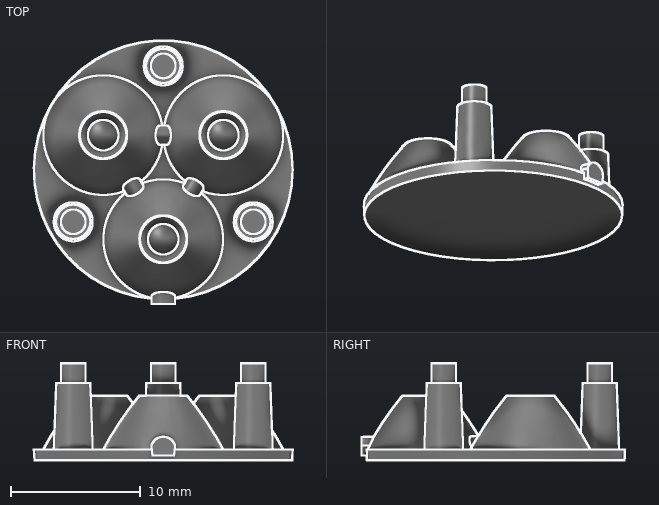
import cadquery as cq
import math

disc_top_radius = 9.98
disc_bottom_radius = 9.95
disc_height = 0.85

cone_circle_radius = 5.35
cone_base_radius = 4.61
cone_top_radius = 1.85
cone_top_z = 5.0
cone_bulge = 0.12
cone_angles = (-90, 30, 150)
gap_angles = (90, 210, 330)

cup_rim_radius = 1.79
cup_floor_radius = 1.18
cup_depth = 1.57
cup_dome_height = 0.35

post_circle_radius = 8.0
post_base_radius = 1.5
post_top_radius = 1.32
post_top_z = 5.98
pin_radius = 0.95
pin_top_z = 7.5
post_angles = gap_angles

gate_half_width = 0.91
gate_base_half_width = 0.83
gate_shoulder_z = 1.14
gate_top_z = 1.83
channel_base_z = 0.37
gate_end_reach = 10.35
runner_half_width = 0.75
runner_base_half_width = 0.7
runner_shoulder_z = 1.1
runner_top_z = 1.87
runner_half_length = 1.02


def at_polar(solid, radius, angle):
    """Move a solid from the Z axis to a place on a circle around it."""
    return solid.translate((radius, 0, 0)).rotate((0, 0, 0), (0, 0, 1), angle)


def revolved(half_outline):
    """Revolve a closed half outline, drawn as (radius, z), around the Z axis."""
    return half_outline.close().revolve(360, (0, 0, 0), (0, 1, 0))


def make_disc():
    return revolved(
        cq.Workplane("XZ")
        .lineTo(disc_bottom_radius, 0)
        .lineTo(disc_top_radius, disc_height)
        .lineTo(0, disc_height)
    )


def make_cone():
    flank_run = cone_base_radius - cone_top_radius
    flank_rise = cone_top_z - disc_height
    flank_length = math.hypot(flank_run, flank_rise)
    flank_middle = (
        (cone_base_radius + cone_top_radius) / 2 + cone_bulge * flank_rise / flank_length,
        (disc_height + cone_top_z) / 2 + cone_bulge * flank_run / flank_length,
    )
    floor_edge_z = cone_top_z - cup_depth
    dome_top_z = floor_edge_z + cup_dome_height
    dome_radius = (cup_floor_radius**2 + cup_dome_height**2) / (2 * cup_dome_height)
    dome_middle_radius = cup_floor_radius / 2
    dome_middle_z = dome_top_z - dome_radius + math.sqrt(dome_radius**2 - dome_middle_radius**2)
    return revolved(
        cq.Workplane("XZ")
        .moveTo(0, disc_height)
        .lineTo(cone_base_radius, disc_height)
        .threePointArc(flank_middle, (cone_top_radius, cone_top_z))
        .lineTo(cup_rim_radius, cone_top_z)
        .lineTo(cup_floor_radius, floor_edge_z)
        .threePointArc((dome_middle_radius, dome_middle_z), (0, dome_top_z))
    )


def make_post():
    return revolved(
        cq.Workplane("XZ")
        .lineTo(post_base_radius, 0)
        .lineTo(post_base_radius, disc_height)
        .lineTo(post_top_radius, post_top_z)
        .lineTo(pin_radius, post_top_z)
        .lineTo(pin_radius, pin_top_z)
        .lineTo(0, pin_top_z)
    )


def make_channel(half_width, base_half_width, shoulder_z, top_z, start, end):
    """Round-topped bar along X with slightly drafted sides."""
    return (
        cq.Workplane("YZ")
        .workplane(offset=start)
        .moveTo(-base_half_width, channel_base_z)
        .lineTo(base_half_width, channel_base_z)
        .lineTo(half_width, shoulder_z)
        .threePointArc((0, top_z), (-half_width, shoulder_z))
        .close()
        .extrude(end - start)
    )


result = make_disc()

runner = make_channel(
    runner_half_width, runner_base_half_width, runner_shoulder_z, runner_top_z,
    -runner_half_length, runner_half_length,
).rotate((0, 0, 0), (0, 0, 1), 90)
gap_circle_radius = cone_circle_radius * math.cos(math.pi / len(cone_angles))
for angle in gap_angles:
    result = result.union(at_polar(runner, gap_circle_radius, angle))

gate = make_channel(
    gate_half_width, gate_base_half_width, gate_shoulder_z, gate_top_z,
    cone_circle_radius + cone_top_radius, gate_end_reach,
)
result = result.union(gate.rotate((0, 0, 0), (0, 0, 1), cone_angles[0]))

cone = make_cone()
for angle in cone_angles:
    result = result.union(at_polar(cone, cone_circle_radius, angle))

post = make_post()
for angle in post_angles:
    result = result.union(at_polar(post, post_circle_radius, angle))